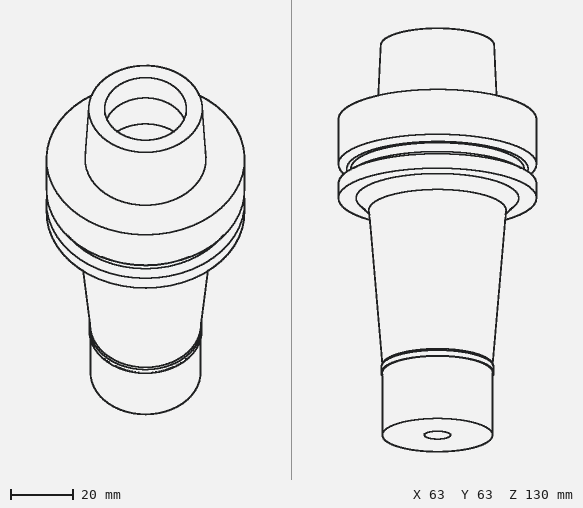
import cadquery as cq

total_height = 130.0
flange_top = 105.3
groove_top = 90.4
groove_bottom = 83.8
flange_bottom = 79.0
neck_cone_height = 4.0
holder_bottom = 23.3
nut_height = 22.6
nut_collar_height = 1.8

flange_radius = 63.0 / 2
groove_radius = 27.5
groove_step_radius = 28.9
groove_side_height = 1.5
body_top_radius = 21.8
body_bottom_radius = 17.5
spigot_top_radius = 18.1
spigot_base_radius = 19.2
neck_radius = 14.0
nut_radius = 17.5
nut_collar_radius = 18.0

socket_radius = 13.0
socket_lip_depth = 10.0
undercut_radius = 14.5
undercut_cone_height = 0.9
socket_depth = 24.7
holder_bore_radius = 6.0
nut_bore_radius = 4.2


def revolve_profile(points):
    """Turn a closed (radius, height) outline about the Z axis."""
    return cq.Workplane("XZ").polyline(points).close().revolve(360, (0, 0, 0), (0, 1, 0))


def make_holder():
    """Tool holder: tapered spigot, grooved flange, tapered body and short neck."""
    lip_bottom = total_height - socket_lip_depth
    socket_floor = total_height - socket_depth
    body_top = flange_bottom - neck_cone_height
    outside = [
        (neck_radius, nut_height),
        (neck_radius, holder_bottom),
        (body_bottom_radius, holder_bottom),
        (body_top_radius, body_top),
        (body_top_radius + neck_cone_height, flange_bottom),
        (flange_radius, flange_bottom),
        (flange_radius, groove_bottom),
        (groove_step_radius, groove_bottom + groove_side_height),
        (groove_radius, groove_bottom + groove_side_height),
        (groove_radius, groove_top - groove_side_height),
        (groove_step_radius, groove_top - groove_side_height),
        (flange_radius, groove_top),
        (flange_radius, flange_top),
        (spigot_base_radius, flange_top),
        (spigot_top_radius, total_height),
    ]
    inside = [
        (socket_radius, total_height),
        (socket_radius, lip_bottom),
        (undercut_radius, lip_bottom - undercut_cone_height),
        (undercut_radius, socket_floor),
        (holder_bore_radius, socket_floor),
        (holder_bore_radius, nut_height),
    ]
    return revolve_profile(outside + inside)


def make_nut():
    """Clamping nut with a raised collar, seated against the end of the holder neck."""
    collar_bottom = nut_height - nut_collar_height
    return revolve_profile([
        (nut_bore_radius, 0),
        (nut_radius, 0),
        (nut_radius, collar_bottom),
        (nut_collar_radius, collar_bottom),
        (nut_collar_radius, nut_height),
        (nut_bore_radius, nut_height),
    ])


holder = make_holder()
nut = make_nut()
result = cq.Compound.makeCompound([holder.val(), nut.val()])